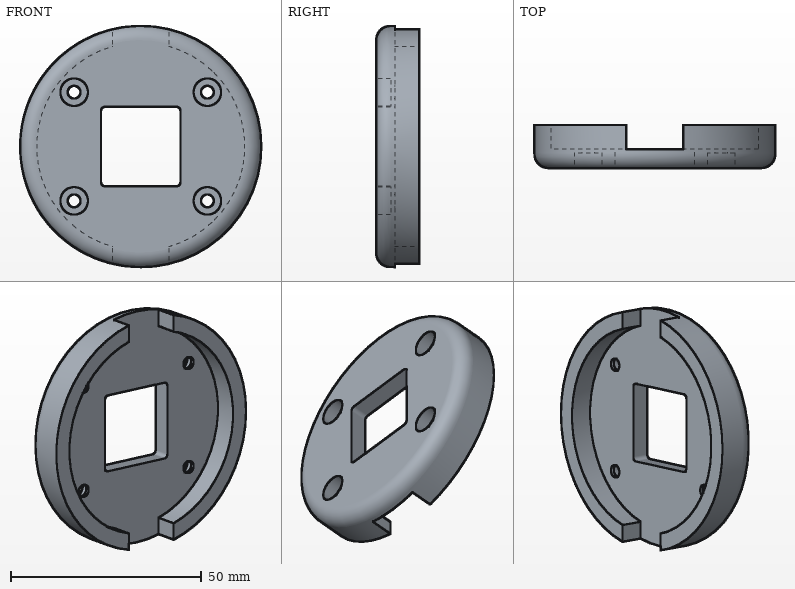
import cadquery as cq

outer_diameter = 63.5
total_depth = 11.4
floor_thickness = 5.0
wall_thickness = 4.4
edge_radius = 3.8

notch_width = 15.0

window_size = 20.8
window_corner_radius = 1.0

hole_spacing_x = 35.05
hole_spacing_z = 28.6
hole_diameter = 3.3
counterbore_diameter = 7.25
counterbore_depth = 4.0

rim_depth = total_depth - floor_thickness
inner_diameter = outer_diameter - 2 * wall_thickness


def plane_at(y):
    """Sketch plane at depth y, with its normal along +Y."""
    return cq.Workplane(cq.Plane(origin=(0, y, 0), xDir=(1, 0, 0), normal=(0, 1, 0)))


def make_cup():
    """Disc with a rounded front edge and a round recess in the back."""
    disc = plane_at(0).circle(outer_diameter / 2).extrude(total_depth)
    disc = disc.faces("<Y").edges().fillet(edge_radius)
    recess = plane_at(floor_thickness).circle(inner_diameter / 2).extrude(rim_depth)
    return disc.cut(recess)


def make_notches():
    """One bar across the whole rim, opening both notches down to the floor."""
    return plane_at(floor_thickness).rect(notch_width, outer_diameter).extrude(rim_depth)


def make_window():
    """Square opening through the floor with rounded corners."""
    window = plane_at(0).rect(window_size, window_size).extrude(floor_thickness)
    return window.edges("|Y").fillet(window_corner_radius)


def make_screw_holes():
    """Four through holes, counterbored from the front face."""
    def cylinders(diameter, depth):
        pattern = plane_at(0).rect(hole_spacing_x, hole_spacing_z, forConstruction=True)
        return pattern.vertices().circle(diameter / 2).extrude(depth)

    shanks = cylinders(hole_diameter, floor_thickness)
    return shanks.union(cylinders(counterbore_diameter, counterbore_depth))


result = make_cup().cut(make_notches()).cut(make_window()).cut(make_screw_holes())